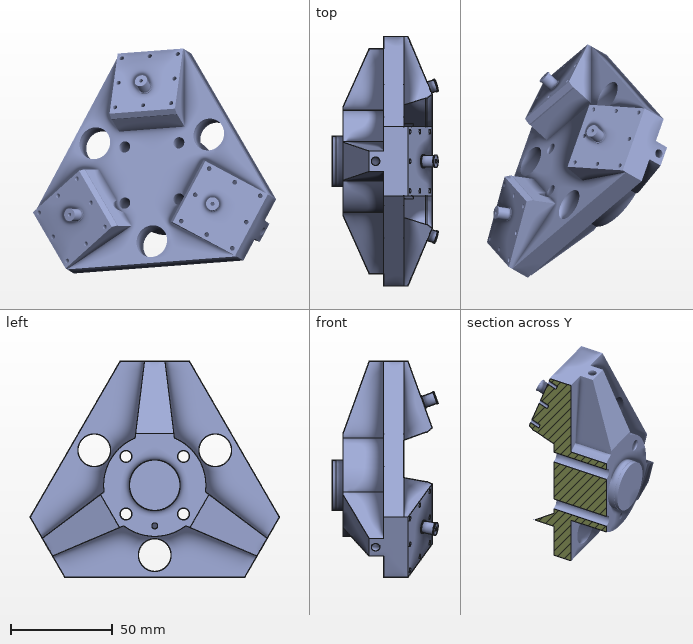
import cadquery as cq
import math

CORNER_ANGLES = (0, 120, 240)

overall_width = 122.7
corner_distance = 61.0
plate_thickness = 9.9
half_turn = math.radians(30)
short_side_half = (overall_width / 2 - corner_distance * math.cos(half_turn)) / math.sin(half_turn)
window_radius = 8.0
window_distance = 34.3

hub_height = 20.0
hub_radius = 25.1
pilot_height = 5.3
pilot_radius = 12.5
pilot_tip_height = 1.8
pilot_tip_radius = 12.4

bolt_circle_radius = 20.0
bolt_hole_radius = 2.8
bolt_head_radius = 4.5
bolt_angles = (45, 135, 225, 315)
dowel_radius = 1.5
dowel_depth = 7.4

rib_inner_distance = 25.4
rib_inner_width = 18.8
rib_outer_width = 10.0
rib_outer_height = 7.1
rib_hole_radius = 2.1
rib_hole_height = 3.9
rib_hole_depth = 9.8

block_edge_x = 12.0
tilt = 20.0
tilt_slope = math.tan(math.radians(tilt))
block_tip_distance = 28.2
block_tip_x = block_edge_x + (corner_distance - block_tip_distance) * tilt_slope
block_foot_distance = 22.1
lip_start_x = 20.6
lip_end_x = 21.3
lip_distance = block_foot_distance + (lip_start_x - plate_thickness) * tilt_slope

screw_radius = 1.1
screw_depth = 4.9
screw_pitch_along = 14.2
screw_pitch_across = 14.6
screw_first = 3.0
connector_position = 21.5
connector_height = 6.9
flange_radius = 3.4
flange_height = 0.4
barrel_radius = 3.0
collar_radius = 3.2
collar_height = 0.6
socket_radius = 1.0
socket_depth = 2.5


def rod(x_start, x_end, radius, y=0.0, z=0.0):
    """Cylinder parallel to X."""
    start = cq.Vector(x_start, y, z)
    return cq.Workplane(cq.Solid.makeCylinder(radius, x_end - x_start, start, cq.Vector(1, 0, 0)))


def turned(shape, angle):
    """Shape rotated about the part axis."""
    return shape.rotate((0, 0, 0), (1, 0, 0), angle)


def make_plate():
    outline = []
    for angle in CORNER_ANGLES:
        turn = math.radians(angle)
        for y in (short_side_half, -short_side_half):
            outline.append((
                y * math.cos(turn) - corner_distance * math.sin(turn),
                y * math.sin(turn) + corner_distance * math.cos(turn),
            ))
    return cq.Workplane("YZ").polyline(outline).close().extrude(plate_thickness)


def make_hub():
    hub_face = -hub_height
    pilot_face = hub_face - pilot_height
    tip_base = pilot_face + pilot_tip_height
    hub = rod(hub_face, 0, hub_radius)
    pilot = rod(tip_base, hub_face, pilot_radius)
    pilot_tip = rod(pilot_face, tip_base, pilot_tip_radius)
    return hub.union(pilot).union(pilot_tip)


def make_rib():
    profile = [
        (0, 0),
        (-hub_height, 0),
        (-hub_height, rib_inner_distance),
        (-rib_outer_height, corner_distance),
        (0, corner_distance),
    ]
    sloped = cq.Workplane("XZ").polyline(profile).close().extrude(rib_inner_width, both=True)

    taper = (rib_inner_width - rib_outer_width) / 2 / (corner_distance - rib_inner_distance)
    root_distance = pilot_radius
    root_half = rib_outer_width / 2 + taper * (corner_distance - root_distance)
    plan = [
        (-root_half, root_distance),
        (root_half, root_distance),
        (rib_outer_width / 2, corner_distance),
        (-rib_outer_width / 2, corner_distance),
    ]
    tapered = cq.Workplane("YZ").polyline(plan).close().extrude(-hub_height)
    return sloped.intersect(tapered)


def make_rib_hole():
    """Drilled hole running inward from the rib end, with a hemispherical bottom."""
    bottom_center = corner_distance - rib_hole_depth
    shaft = cq.Workplane("XY").workplane(offset=bottom_center).circle(rib_hole_radius).extrude(rib_hole_depth)
    bottom = cq.Workplane("XY").sphere(rib_hole_radius).translate((0, 0, bottom_center))
    drill = shaft.union(bottom)
    return drill.translate((-rib_hole_height, 0, 0))


def make_block():
    profile = [
        (0, corner_distance),
        (block_edge_x, corner_distance),
        (block_tip_x, block_tip_distance),
        (lip_end_x, lip_distance),
        (lip_start_x, lip_distance),
        (plate_thickness, block_foot_distance),
        (0, block_foot_distance),
    ]
    return cq.Workplane("XZ").polyline(profile).close().extrude(short_side_half, both=True)


def tilted_face():
    """Workplane on the tilted face: local x runs inward from its outer edge, local y across it."""
    tilt_angle = math.radians(tilt)
    inward = (math.sin(tilt_angle), 0, -math.cos(tilt_angle))
    outward_normal = (math.cos(tilt_angle), 0, math.sin(tilt_angle))
    return cq.Workplane(cq.Plane((block_edge_x, 0, corner_distance), inward, outward_normal))


def make_connector():
    axis = tilted_face().center(connector_position, 0)
    barrel = axis.circle(barrel_radius).extrude(connector_height)
    flange = axis.circle(flange_radius).extrude(flange_height)
    end = axis.workplane(offset=connector_height)
    collar = end.circle(collar_radius).extrude(-collar_height)
    socket = end.circle(socket_radius).extrude(-socket_depth)
    return barrel.union(flange).union(collar).cut(socket)


def make_screw_holes():
    """Three by three grid without the middle position."""
    points = []
    for row in range(3):
        for column in (-1, 0, 1):
            if (row, column) != (1, 0):
                points.append((screw_first + row * screw_pitch_along, column * screw_pitch_across))
    return tilted_face().pushPoints(points).circle(screw_radius).extrude(-screw_depth)


body = make_plate().union(make_hub())
for angle in CORNER_ANGLES:
    for feature in (make_rib(), make_block(), make_connector()):
        body = body.union(turned(feature, angle))

for angle in CORNER_ANGLES:
    window = rod(0, block_tip_x, window_radius, z=-window_distance)
    for feature in (window, make_rib_hole(), make_screw_holes()):
        body = body.cut(turned(feature, angle))

for angle in bolt_angles:
    shank = rod(-hub_height, plate_thickness, bolt_hole_radius, z=bolt_circle_radius)
    head = rod(plate_thickness, block_tip_x, bolt_head_radius, z=bolt_circle_radius)
    body = body.cut(turned(shank.union(head), angle))

body = body.cut(rod(-hub_height, dowel_depth - hub_height, dowel_radius, z=-bolt_circle_radius))

result = body